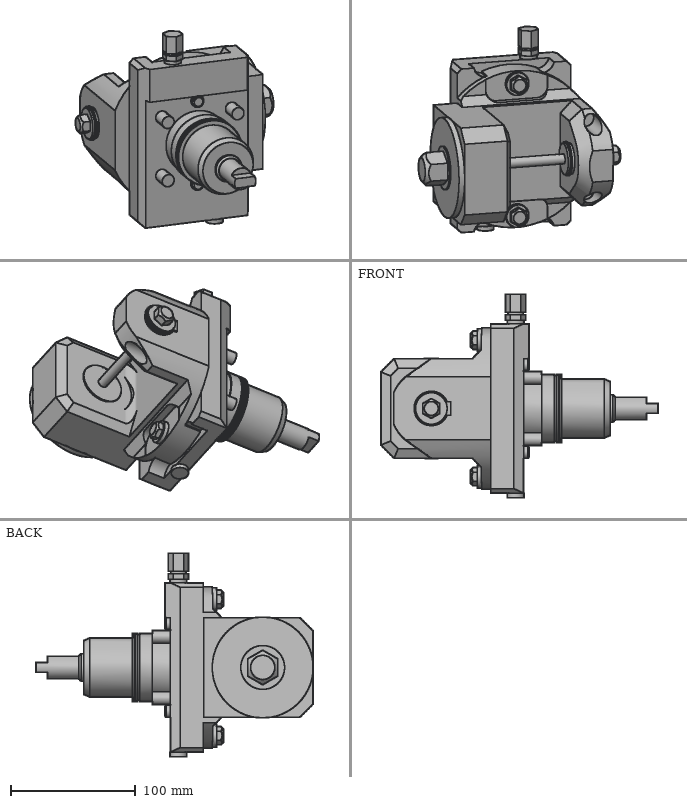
import cadquery as cq
import math


PLATE_HALF_Y = 47.5
PLATE_HALF_Z = 67.7
PLATE_CORNER = 3.5
PLATE_BACK = 30.9
PLATE_LOW_BACK = 26.5
PLATE_SIDE_END = 18.6
PLATE_SIDE_TAPER = 5.8
NOTCH_RADIUS = 10.9
NOTCH_FLOOR_Z = 59.5
TONGUE_HALF_Y = 22.9
NOTCH_DEPTH = 14.5

BODY_HALF_Z = 40.0
FLANGE_RADIUS = 64.8
FLANGE_FRONT = -7.5
FLANGE_SIDE_Y = -59.7
WALL_FRONT = -19.0
SLOPE_RISE = 7.0
PIN_X = -47.5

POCKET_HALF_Y = 25.8
POCKET_BOTTOM_Z = 41.3
POCKET_FLOOR = FLANGE_FRONT + 0.5
POCKET_CORNER = 8.9
FLANGE_SCREW_Z = 54.6

THIN_LEG_INNER_Y = -32.9
THIN_LEG_TIP_X = -77.5
THIN_LEG_TIP_RADIUS = 32.6
THIN_LEG_CHAMFER = 9.8
TIP_HOLE_RADIUS = 6.7
TIP_HOLE_Y = -48.0
TIP_HOLE_Z = 30.2
TIP_HOLE_FLOOR = -40.0

THICK_LEG_END = -0.5
THICK_LEG_TIP_X = -88.0
THICK_LEG_INNER_Y = 27.0
THICK_LEG_OUTER_Y = 67.5
THICK_LEG_CORNER = 10.7
PAD_BEVEL_HEIGHT = 4.7
PAD_BEVEL_WIDTH = 7.8
INNER_FILLET = 6.9
SPOTFACE_RADIUS = 27.5
COVER_RADIUS = PIN_X - THICK_LEG_TIP_X
COVER_OUTER_Y = 72.2

PIN_RADIUS = 4.0
PIN_WASHER_RADIUS = 17.5
PIN_WASHER_THICKNESS = 1.0
NUT_END_Y = 91.2
NUT_FLATS = 24.0
PIN_HEAD_END_Y = -73.3
PIN_HEAD_FLATS = 13.8
COLLAR_RADIUS = 12.7
COLLAR_THICKNESS = 5.5
LOCK_PLATE_RADIUS = 13.8
LOCK_PLATE_THICKNESS = 1.3
LOCK_PLATE_OFFSET = 2.5
LOCK_TAB_REACH = 15.5
LOCK_TAB_WIDTH = 11.0

SCREW_FLATS = 12.9
SCREW_HEAD_END = -16.2
SCREW_WASHER_FRONT = -10.7
SCREW_WASHER_RADIUS = 9.3

REAR_SCREW_RADIUS = 5.0
REAR_SCREW_Y = 30.0
REAR_SCREW_Z = 24.6
REAR_SCREW_END = 40.8
DOWEL_RADIUS = 4.9
DOWEL_CHAMFER = 1.0

PILOT_NECK_RADIUS = 26.2
PILOT_RADIUS = 27.3
PILOT_END = 56.8
RING_GROOVES = (50.8, 54.0)
RING_GROOVE_WIDTH = 1.5
RING_GROOVE_DEPTH = 0.9
HOUSING_RADIUS = 23.8
HOUSING_END = 96.0
HOUSING_BEVEL_LENGTH = 5.0
HOUSING_BEVEL_DEPTH = 2.2
SEAL_RADIUS = 11.0
SEAL_END = 99.7
SEAL_STEP = 1.8
SHAFT_RADIUS = 9.0
SHAFT_END = 124.8
TANG_END = 134.0
TANG_HALF_THICKNESS = 4.0

PORT_X = 20.0
PORT_Y = 18.0
PORT_NECK_RADIUS = 6.9
FITTING_FLATS = 14.2
FITTING_WAIST_RADIUS = 6.2
FITTING_COLLAR_Z = 70.5
FITTING_WAIST_Z = 75.0
FITTING_HEAD_Z = 76.8
FITTING_TOP_Z = 91.5
PLUG_BOTTOM_Z = -71.5

HEX_END_RATIO = 0.7

OVERLAP = 2.2


def box(x0, x1, y0, y1, z0, z1):
    return cq.Workplane("XY").box(x1 - x0, y1 - y0, z1 - z0, centered=False).translate((x0, y0, z0))


def rod_x(radius, x0, x1, y=0, z=0):
    return cq.Workplane("YZ", origin=(x0, y, z)).circle(radius).extrude(x1 - x0)


def rod_y(radius, y0, y1, x=PIN_X, z=0):
    return cq.Workplane("XZ", origin=(x, y0, z)).circle(radius).extrude(y0 - y1)


def rod_z(radius, z0, z1, x, y):
    return cq.Workplane("XY", origin=(x, y, z0)).circle(radius).extrude(z1 - z0)


def hex_prism(flats, length):
    """Hexagonal prism along +Z from the origin, with two corners on the X axis."""
    return cq.Workplane("XY").polygon(6, flats / math.cos(math.pi / 6)).extrude(length)


def hex_head(flats, length):
    """Hexagonal prism whose free end is turned to a 45 degree cone."""
    corner = flats / math.sqrt(3)
    end_radius = HEX_END_RATIO * corner
    shoulder = length - (corner - end_radius)
    cone = (
        cq.Workplane("XZ")
        .polyline([(0, 0), (corner, 0), (corner, shoulder), (end_radius, length), (0, length)])
        .close()
        .revolve(360, (0, 0), (0, 1))
    )
    return hex_prism(flats, length).intersect(cone)


def mounting_plate():
    taper_y = PLATE_HALF_Y - PLATE_SIDE_TAPER
    outline = [
        (0, -PLATE_HALF_Y), (PLATE_SIDE_END, -PLATE_HALF_Y), (PLATE_BACK, -taper_y),
        (PLATE_BACK, taper_y), (PLATE_SIDE_END, PLATE_HALF_Y), (0, PLATE_HALF_Y),
    ]
    tapered = (
        cq.Workplane("XY", origin=(0, 0, -PLATE_HALF_Z)).polyline(outline).close().extrude(2 * PLATE_HALF_Z)
    )
    blank = (
        cq.Workplane("YZ").rect(2 * PLATE_HALF_Y, 2 * PLATE_HALF_Z).extrude(PLATE_BACK)
        .edges("|X").chamfer(PLATE_CORNER)
    )
    plate = blank.intersect(tapered)
    plate = plate.cut(
        box(PLATE_LOW_BACK, PLATE_BACK, -PLATE_HALF_Y, PLATE_HALF_Y, -PLATE_HALF_Z, BODY_HALF_Z)
    )
    notch_top = PLATE_HALF_Z + OVERLAP
    round_z = NOTCH_FLOOR_Z + NOTCH_RADIUS
    for end in (-1, 1):
        middle_z = end * (NOTCH_FLOOR_Z + notch_top) / 2
        notch = (
            cq.Workplane("YZ", origin=(0, 0, middle_z))
            .rect(2 * TONGUE_HALF_Y, notch_top - NOTCH_FLOOR_Z).extrude(NOTCH_DEPTH)
        )
        for side in (-1, 1):
            notch = notch.union(rod_x(NOTCH_RADIUS, 0, NOTCH_DEPTH, side * TONGUE_HALF_Y, end * round_z))
        plate = plate.cut(notch)
    return plate


def flange_envelope(x0, x1):
    """Round bar of the flange radius, flattened on its two Y sides."""
    bar = rod_x(FLANGE_RADIUS, x0, x1)
    return bar.intersect(box(x0, x1, FLANGE_SIDE_Y, PLATE_HALF_Y, -FLANGE_RADIUS, FLANGE_RADIUS))


def flange():
    disc = flange_envelope(FLANGE_FRONT, 0)
    tongue = rod_x(FLANGE_RADIUS, 0, NOTCH_DEPTH)
    slope_start = FLANGE_FRONT - SLOPE_RISE
    half_outline = [(WALL_FRONT, BODY_HALF_Z), (slope_start, BODY_HALF_Z)]
    half_outline += [(FLANGE_FRONT, BODY_HALF_Z + SLOPE_RISE), (0, BODY_HALF_Z + SLOPE_RISE)]
    outline = half_outline + [(x, -z) for x, z in reversed(half_outline)]
    wall = (
        cq.Workplane("XZ", origin=(0, PLATE_HALF_Y, 0)).polyline(outline).close()
        .extrude(PLATE_HALF_Y - FLANGE_SIDE_Y)
    )
    wall = wall.intersect(flange_envelope(WALL_FRONT, 0))
    tongue = tongue.intersect(
        box(0, NOTCH_DEPTH, -TONGUE_HALF_Y, TONGUE_HALF_Y, -FLANGE_RADIUS, FLANGE_RADIUS)
    )
    return disc.union(wall).union(tongue)


def screw_pocket(end):
    """Cutter for the pocket around one flange screw, open at the flange rim."""
    height = FLANGE_RADIUS + OVERLAP - POCKET_BOTTOM_Z
    pocket = (
        cq.Workplane("YZ", origin=(WALL_FRONT, 0, POCKET_BOTTOM_Z + height / 2))
        .rect(2 * POCKET_HALF_Y, height).extrude(POCKET_FLOOR - WALL_FRONT)
        .edges("|X and <Z").fillet(POCKET_CORNER)
    )
    return pocket if end > 0 else pocket.mirror("XY")


def thin_leg():
    angle = math.acos(THIN_LEG_TIP_RADIUS / BODY_HALF_Z)
    tangent_x = PIN_X - THIN_LEG_TIP_RADIUS * math.sin(angle)
    tangent_z = THIN_LEG_TIP_RADIUS * math.cos(angle)
    outline = (
        cq.Workplane("XZ", origin=(0, FLANGE_SIDE_Y, 0))
        .moveTo(0, -BODY_HALF_Z)
        .lineTo(PIN_X, -BODY_HALF_Z)
        .lineTo(tangent_x, -tangent_z)
        .threePointArc((PIN_X - THIN_LEG_TIP_RADIUS, 0), (tangent_x, tangent_z))
        .lineTo(PIN_X, BODY_HALF_Z)
        .lineTo(0, BODY_HALF_Z)
        .close()
    )
    bevel_y = THIN_LEG_INNER_Y - THIN_LEG_CHAMFER
    straight = outline.extrude(FLANGE_SIDE_Y - bevel_y)
    bevel = straight.faces(">Y").wires().toPending().workplane().extrude(THIN_LEG_CHAMFER, taper=45)
    leg = straight.union(bevel)
    leg = leg.intersect(flange_envelope(THIN_LEG_TIP_X, 0))
    for end in (-1, 1):
        leg = leg.cut(
            rod_x(TIP_HOLE_RADIUS, THIN_LEG_TIP_X - OVERLAP, TIP_HOLE_FLOOR, TIP_HOLE_Y, end * TIP_HOLE_Z)
        )
    return leg


def thick_leg_prism(length, start_y, end_y, taper=0):
    """Leg outline with bevelled tip corners, extruded from start_y down to end_y."""
    blank = (
        cq.Workplane("XZ", origin=(0, start_y, 0))
        .polyline([
            (THICK_LEG_TIP_X + length, -BODY_HALF_Z),
            (THICK_LEG_TIP_X + THICK_LEG_CORNER, -BODY_HALF_Z),
            (THICK_LEG_TIP_X, THICK_LEG_CORNER - BODY_HALF_Z),
            (THICK_LEG_TIP_X, BODY_HALF_Z - THICK_LEG_CORNER),
            (THICK_LEG_TIP_X + THICK_LEG_CORNER, BODY_HALF_Z),
            (THICK_LEG_TIP_X + length, BODY_HALF_Z),
        ])
        .close()
    )
    return blank.extrude(start_y - end_y, taper=taper)


def thick_leg():
    bevel_y = THICK_LEG_INNER_Y + PAD_BEVEL_HEIGHT
    root_y = THICK_LEG_INNER_Y - INNER_FILLET
    fillet_x = WALL_FRONT - INNER_FILLET
    length = THICK_LEG_END - THICK_LEG_TIP_X
    leg = thick_leg_prism(length, THICK_LEG_OUTER_Y, bevel_y)

    pad = box(THICK_LEG_TIP_X, THICK_LEG_END, THICK_LEG_INNER_Y, bevel_y, -BODY_HALF_Z, BODY_HALF_Z)
    web = box(fillet_x, WALL_FRONT, root_y, THICK_LEG_INNER_Y, -BODY_HALF_Z, BODY_HALF_Z)
    web = web.cut(rod_z(INNER_FILLET, -BODY_HALF_Z, BODY_HALF_Z, fillet_x, root_y))
    web = web.cut(rod_y(SPOTFACE_RADIUS, root_y, THICK_LEG_INNER_Y))
    taper = math.degrees(math.atan(PAD_BEVEL_WIDTH / PAD_BEVEL_HEIGHT))
    tapered = thick_leg_prism(length + FLANGE_RADIUS, bevel_y, root_y, taper)
    leg = leg.union(pad.union(web).intersect(tapered))
    return leg.union(rod_y(COVER_RADIUS, THICK_LEG_OUTER_Y, COVER_OUTER_Y))


def lock_collar(start_y, direction):
    """Collar with a thin tabbed lock plate, stacked from start_y along direction."""
    collar = rod_y(COLLAR_RADIUS, start_y, start_y + direction * COLLAR_THICKNESS)
    plate_y = start_y + direction * LOCK_PLATE_OFFSET
    far_y = plate_y + direction * LOCK_PLATE_THICKNESS
    tab = box(
        PIN_X, PIN_X + LOCK_TAB_REACH, min(plate_y, far_y), max(plate_y, far_y),
        -LOCK_TAB_WIDTH / 2, LOCK_TAB_WIDTH / 2,
    )
    return collar.union(rod_y(LOCK_PLATE_RADIUS, plate_y, far_y)).union(tab)


def clamping_pin():
    head_y = FLANGE_SIDE_Y - COLLAR_THICKNESS
    pin = rod_y(PIN_RADIUS, head_y, COVER_OUTER_Y)
    pin = pin.union(lock_collar(THIN_LEG_INNER_Y, 1)).union(lock_collar(FLANGE_SIDE_Y, -1))
    for face_y, direction in ((THICK_LEG_INNER_Y, -1), (COVER_OUTER_Y, 1)):
        pin = pin.union(rod_y(PIN_WASHER_RADIUS, face_y, face_y + direction * PIN_WASHER_THICKNESS))
    nut = hex_head(NUT_FLATS, NUT_END_Y - COVER_OUTER_Y).rotate((0, 0, 0), (0, 0, 1), 90)
    nut = nut.rotate((0, 0, 0), (1, 0, 0), -90).translate((PIN_X, COVER_OUTER_Y, 0))
    head = hex_head(PIN_HEAD_FLATS, head_y - PIN_HEAD_END_Y).rotate((0, 0, 0), (0, 0, 1), 90)
    head = head.rotate((0, 0, 0), (1, 0, 0), 90).translate((PIN_X, head_y, 0))
    return pin.union(nut).union(head)


def flange_screw(end):
    z = end * FLANGE_SCREW_Z
    washer = rod_x(SCREW_WASHER_RADIUS, SCREW_WASHER_FRONT, POCKET_FLOOR, 0, z)
    head = hex_head(SCREW_FLATS, SCREW_WASHER_FRONT - SCREW_HEAD_END)
    head = head.rotate((0, 0, 0), (0, 1, 0), -90).translate((SCREW_WASHER_FRONT, 0, z))
    return washer.union(head)


def rear_fasteners():
    parts = cq.Workplane("XY")
    for end in (-1, 1):
        for side in (-1, 1):
            y = side * REAR_SCREW_Y
            z = end * REAR_SCREW_Z
            parts = parts.union(rod_x(REAR_SCREW_RADIUS, PLATE_LOW_BACK, REAR_SCREW_END, y, z))
        dowel = rod_x(DOWEL_RADIUS, PLATE_LOW_BACK, PLATE_BACK, 0, end * (BODY_HALF_Z - DOWEL_RADIUS))
        parts = parts.union(dowel.faces(">X").chamfer(DOWEL_CHAMFER))
    return parts


def spindle():
    pilot = rod_x(PILOT_NECK_RADIUS, PLATE_LOW_BACK, REAR_SCREW_END)
    pilot = pilot.union(rod_x(PILOT_RADIUS, REAR_SCREW_END, PILOT_END))
    for groove_x in RING_GROOVES:
        groove = rod_x(PILOT_RADIUS, groove_x, groove_x + RING_GROOVE_WIDTH)
        core = rod_x(PILOT_RADIUS - RING_GROOVE_DEPTH, groove_x, groove_x + RING_GROOVE_WIDTH)
        pilot = pilot.cut(groove.cut(core))
    housing = rod_x(HOUSING_RADIUS, PILOT_END, HOUSING_END - HOUSING_BEVEL_LENGTH)
    nose = (
        cq.Workplane("YZ", origin=(HOUSING_END - HOUSING_BEVEL_LENGTH, 0, 0)).circle(HOUSING_RADIUS)
        .workplane(offset=HOUSING_BEVEL_LENGTH).circle(HOUSING_RADIUS - HOUSING_BEVEL_DEPTH)
        .loft()
    )
    seal = rod_x(SEAL_RADIUS, HOUSING_END, SEAL_END).faces(">X").chamfer(SEAL_STEP)
    shaft = rod_x(SHAFT_RADIUS, HOUSING_END, SHAFT_END)
    tang = rod_x(SHAFT_RADIUS, SHAFT_END, TANG_END).intersect(
        box(SHAFT_END, TANG_END, -SHAFT_RADIUS, SHAFT_RADIUS, -TANG_HALF_THICKNESS, TANG_HALF_THICKNESS)
    )
    return pilot.union(housing).union(nose).union(seal).union(shaft).union(tang)


def ports():
    neck = rod_z(PORT_NECK_RADIUS, PLATE_HALF_Z, FITTING_COLLAR_Z, PORT_X, -PORT_Y)
    collar = hex_prism(FITTING_FLATS, FITTING_WAIST_Z - FITTING_COLLAR_Z)
    waist = rod_z(FITTING_WAIST_RADIUS, FITTING_WAIST_Z, FITTING_HEAD_Z, PORT_X, -PORT_Y)
    head = hex_prism(FITTING_FLATS, FITTING_TOP_Z - FITTING_HEAD_Z)
    fitting = (
        neck.union(collar.translate((PORT_X, -PORT_Y, FITTING_COLLAR_Z)))
        .union(waist)
        .union(head.translate((PORT_X, -PORT_Y, FITTING_HEAD_Z)))
    )
    plug = rod_z(PORT_NECK_RADIUS, PLUG_BOTTOM_Z, -PLATE_HALF_Z, PORT_X, PORT_Y)
    return fitting.union(plug)


yoke = flange().union(thin_leg()).union(thick_leg())
for end in (-1, 1):
    yoke = yoke.cut(screw_pocket(end)).union(flange_screw(end))

result = yoke.union(mounting_plate()).union(clamping_pin())
result = result.union(rear_fasteners()).union(spindle()).union(ports())